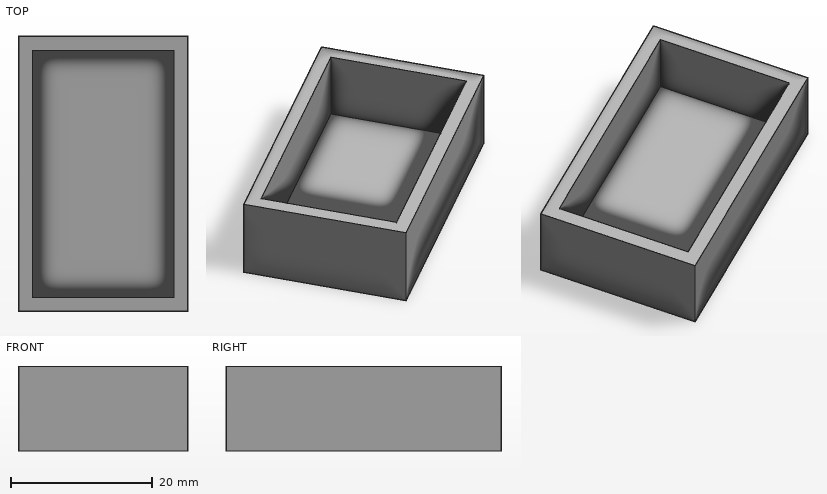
import cadquery as cq

width = 24.0
length = 39.0
height = 12.0

wall = 2.0

body = cq.Workplane("XY").box(width, length, height, centered=(True, True, False))
cavity = (
    cq.Workplane("XY")
    .workplane(offset=wall)
    .rect(width - 2 * wall, length - 2 * wall)
    .extrude(height - wall)
)

result = body.cut(cavity)